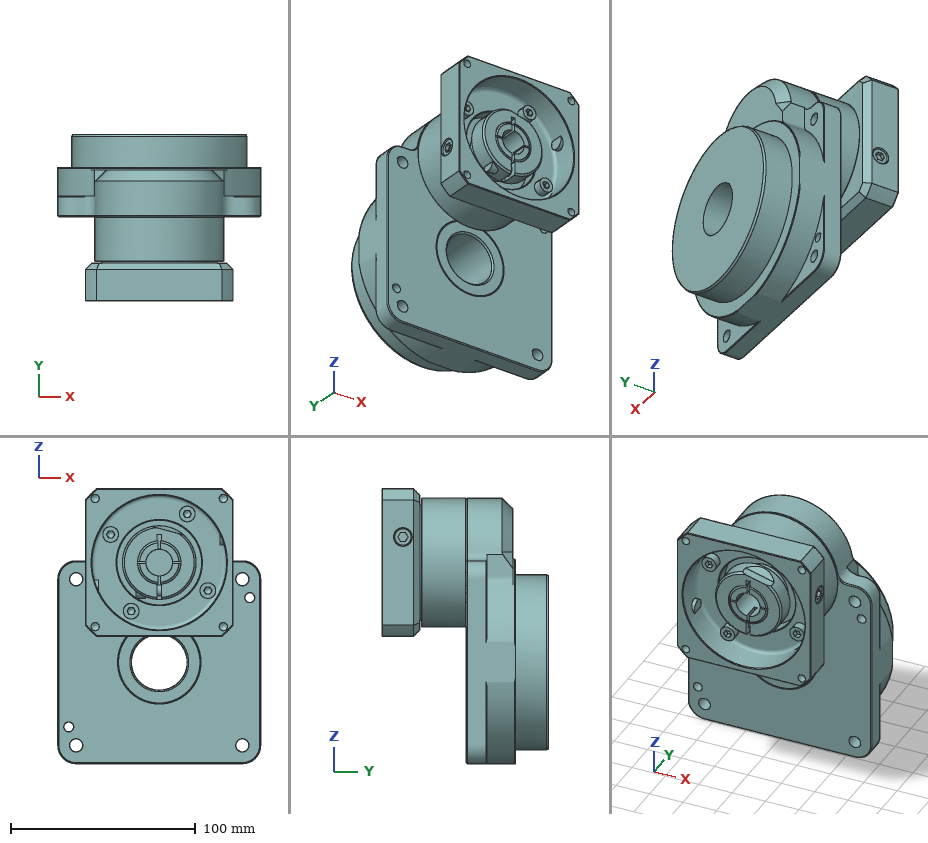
import cadquery as cq
import math


OVERALL_HEIGHT = 149.0
PLATE_WIDTH = 110.0
FLANGE_WIDTH = 80.0
PLATE_HALF = PLATE_WIDTH / 2
FLANGE_HALF = FLANGE_WIDTH / 2
AXIS_OFFSET = OVERALL_HEIGHT - PLATE_HALF - FLANGE_HALF
HOUSING_RADIUS = 35.0
EDGE_CHAMFER = 0.5

PLATE_CORNER_RADIUS = 10.0
PLATE_THICKNESS = 11.2
PLATE_FRONT_CHAMFER = 0.6
BLEND_RADIUS = 6.0
BODY_RADIUS = 56.0
BODY_START = 1.5
BODY_END = 26.7
LOBE_END = 25.3
LOBE_CHAMFER = 6.0
RUNOUT_RISE = 5.8
RUNOUT_DROP = 3.3
TABLE_RADIUS = 47.5
TABLE_END = 44.7
TABLE_CHAMFER_LENGTH = 1.3
TABLE_CHAMFER_DEPTH = 0.6
BORE_RADIUS = 15.0
BORE_CHAMFER = 0.9
HUB_RADIUS = 22.4
HUB_GROOVE_WIDTH = 0.6
MOUNT_HOLE_SPACING = 90.0
MOUNT_HOLE_DIAMETER = 7.0
DOWEL_HOLE_DIAMETER = 5.2
DOWEL_HOLE_X = 49.0
DOWEL_HOLE_Z = 35.0

BARREL_END = -24.3
NECK_RADIUS = 31.3
FLANGE_BACK = -25.0
FLANGE_FRONT = -45.7
FLANGE_CORNER_RADIUS = 52.5
FLANGE_BACK_CHAMFER = 3.6
FLANGE_HOLE_SPACING = 69.5
FLANGE_HOLE_RADIUS = 2.2
FLANGE_HOLE_DEPTH = 11.9
DRILL_TIP_RATIO = 0.6
POCKET_RADIUS = 36.5
POCKET_FLOOR = -29.0
POCKET_FILLET = 2.1
CAVITY_RADIUS = 23.0
CAVITY_BOTTOM = -20.9
SCREW_CIRCLE_RADIUS = 30.4
SCREW_FIRST_ANGLE = 60.0
SCREW_COUNT = 4
SCREW_HEAD_RADIUS = 8.5 / 2
SCREW_HEAD_HEIGHT = 5.0
SCREW_SOCKET_FLATS = 3.9
SCREW_SOCKET_DEPTH = 3.0

COLLAR_RADIUS = 20.0
COLLAR_CHAMFER = 1.0
COLLAR_FRONT = -40.2
COLLAR_BACK = -29.4
HUB_SHAFT_RADIUS = 14.9
COLLAR_FLAT_DISTANCE = 17.9
COLLAR_FLAT_TILT = 15.0
COLLAR_FLAT_LENGTH = 5.2
COLLAR_FLAT_RUNOUT = 4.5
COLLET_RADIUS = 11.8
COLLET_GROOVE_WIDTH = 1.12
INPUT_BORE_RADIUS = 14.5 / 2
INPUT_BORE_DEPTH = 20.1
COLLET_SLIT_WIDE = 1.5
COLLET_SLIT_NARROW = 0.9
COLLAR_SLOT_WIDTH = 2.5
COLLAR_SLOT_BLIND_REACH = 15.2
SLIT_DEPTH = 9.7
CLAMP_SCREW_Y = -34.3
CLAMP_SCREW_DROP = 15.2
CLAMP_HEAD_REACH = 12.5
CLAMP_HEAD_RADIUS = SCREW_HEAD_RADIUS
CLAMP_SHANK_RADIUS = 3.0
CLAMP_HEAD_LENGTH = SCREW_HEAD_HEIGHT
CLAMP_SHANK_END = 7.5

PLUG_Y = -34.3
PLUG_DROP = 13.9
PLUG_RADIUS = 4.5
PLUG_INNER_END = 33.0
PLUG_RECESS = 0.6
PLUG_SOCKET_FLATS = 4.8
PLUG_SOCKET_DEPTH = 2.2


def facing_back(y, z=0.0):
    """Sketch plane at depth y with local x = X, local y = Z; extrude negative to go toward +Y."""
    return cq.Workplane("XZ", origin=(0, y, z))


def cylinder(radius, y_start, y_end, z=0.0):
    """Cylinder along Y from y_start to y_end, centred at height z."""
    return facing_back(y_start, z).circle(radius).extrude(y_start - y_end)


def cylinder_along_x(radius, x_start, x_end, y, z):
    return cq.Workplane("YZ", origin=(x_start, y, z)).circle(radius).extrude(x_end - x_start)


def revolved(points, z=0.0):
    """Solid of revolution about the line parallel to Y at height z; points are (radius, y)."""
    profile = cq.Workplane("XY", origin=(0, 0, z)).polyline(points).close()
    return profile.revolve(360, (0, 0, 0), (0, 1, 0))


def hexagon_diameter(across_flats):
    return across_flats / math.cos(math.radians(30))


def arc_point(center, radius, degrees):
    angle = math.radians(degrees)
    return (center[0] + radius * math.cos(angle), center[1] + radius * math.sin(angle))


LOBE_CENTER = (0, AXIS_OFFSET)
LOBE_TOP = (0, AXIS_OFFSET + HOUSING_RADIUS)

TOP_BLEND_REACH = HOUSING_RADIUS + BLEND_RADIUS
TOP_BLEND_ANGLE = math.degrees(math.asin((PLATE_HALF + BLEND_RADIUS - AXIS_OFFSET) / TOP_BLEND_REACH))
TOP_BLEND_CENTER = arc_point(LOBE_CENTER, TOP_BLEND_REACH, TOP_BLEND_ANGLE)
TOP_BLEND_END = arc_point(LOBE_CENTER, HOUSING_RADIUS, TOP_BLEND_ANGLE)


def plate():
    """Square plate with rounded corners and a chamfered back rim."""
    slab = facing_back(0).rect(PLATE_WIDTH, PLATE_WIDTH).extrude(-PLATE_THICKNESS)
    slab = slab.edges("|Y").fillet(PLATE_CORNER_RADIUS)
    return slab.faces(">Y").edges().chamfer(EDGE_CHAMFER)


def close_over_lobe(outline):
    """Continue an outline from its side blend over the top of the lobe and mirror it."""
    mid_angle = (TOP_BLEND_ANGLE + 90) / 2
    return (
        outline.threePointArc(arc_point(LOBE_CENTER, HOUSING_RADIUS, mid_angle), LOBE_TOP).mirrorY()
    )


def lobe_web():
    """Part of the lobe level with the plate, blended into the plate's top edge."""
    outline = (
        facing_back(0)
        .lineTo(TOP_BLEND_CENTER[0], 0)
        .lineTo(TOP_BLEND_CENTER[0], PLATE_HALF)
        .threePointArc(
            arc_point(TOP_BLEND_CENTER, BLEND_RADIUS, (TOP_BLEND_ANGLE - 180 - 90) / 2),
            TOP_BLEND_END,
        )
    )
    return close_over_lobe(outline).extrude(-PLATE_THICKNESS)


def round_body():
    """Round body behind the plate, cut flat where it would pass the plate's sides and bottom."""
    body = cylinder(BODY_RADIUS, BODY_START, BODY_END).faces(">Y").edges().chamfer(EDGE_CHAMFER)
    top = BODY_RADIUS + 1.5
    limits = (
        facing_back(0)
        .moveTo(-PLATE_HALF, -PLATE_HALF)
        .lineTo(PLATE_HALF, -PLATE_HALF)
        .lineTo(PLATE_HALF, top)
        .lineTo(-PLATE_HALF, top)
        .close()
        .extrude(-BODY_END)
    )
    return body.intersect(limits)


def pyramid(base, apex):
    """Solid with a triangular base and one apex; all points are (x, y, z)."""
    triangles = [base] + [(base[i], base[(i + 1) % 3], apex) for i in range(3)]
    faces = []
    for triangle in triangles:
        corners = [cq.Vector(*point) for point in triangle]
        faces.append(cq.Face.makeFromWires(cq.Wire.makePolygon(corners, close=True)))
    return cq.Workplane(cq.Solid.makeSolid(cq.Shell.makeShell(faces)))


def lobe():
    """Lobe behind the plate: flat sides, blends into the round body, chamfered back rim."""
    blend_x = HOUSING_RADIUS + BLEND_RADIUS
    blend_reach = BODY_RADIUS + BLEND_RADIUS
    blend_angle = math.degrees(math.acos(blend_x / blend_reach))
    blend_center = arc_point((0, 0), blend_reach, blend_angle)
    side_angle = -math.degrees(math.acos((HOUSING_RADIUS - TOP_BLEND_CENTER[0]) / BLEND_RADIUS))
    outline = (
        facing_back(PLATE_THICKNESS)
        .lineTo(*arc_point((0, 0), BODY_RADIUS, blend_angle))
        .threePointArc(
            arc_point(blend_center, BLEND_RADIUS, (blend_angle + 360) / 2),
            (HOUSING_RADIUS, blend_center[1]),
        )
        .lineTo(*arc_point(TOP_BLEND_CENTER, BLEND_RADIUS, side_angle))
        .threePointArc(
            arc_point(TOP_BLEND_CENTER, BLEND_RADIUS, (side_angle + TOP_BLEND_ANGLE - 180) / 2),
            TOP_BLEND_END,
        )
    )
    return close_over_lobe(outline).extrude(PLATE_THICKNESS - LOBE_END).cut(lobe_rim_cut())


def lobe_rim_cut():
    """Conical chamfer round the top of the lobe with a sloping run-out at each side."""
    outer = HOUSING_RADIUS + 1.5
    start = LOBE_END - LOBE_CHAMFER
    end_radius = HOUSING_RADIUS - LOBE_CHAMFER
    ring = revolved(
        [(HOUSING_RADIUS, start), (outer, start), (outer, LOBE_END), (end_radius, LOBE_END)],
        AXIS_OFFSET,
    )
    stop = AXIS_OFFSET + RUNOUT_RISE
    upper = cq.Workplane().box(2 * outer, 2 * LOBE_END, 2 * outer, centered=(True, True, False))
    cutter = ring.intersect(upper.translate((0, 0, stop)))
    inner_x = math.sqrt(end_radius**2 - RUNOUT_RISE**2)
    past_inner = outer - inner_x
    run_slope = (RUNOUT_RISE + RUNOUT_DROP) / (HOUSING_RADIUS - inner_x)
    for side in (-1, 1):
        base = (
            (side * inner_x, LOBE_END, stop),
            (side * outer, LOBE_END, stop),
            (side * outer, LOBE_END, stop - run_slope * past_inner),
        )
        cutter = cutter.union(pyramid(base, (side * outer, LOBE_END - past_inner, stop)))
    return cutter


def output_table():
    """Round output table with a chamfered back rim."""
    table = cylinder(TABLE_RADIUS, BODY_END, TABLE_END)
    rim_start = TABLE_END - TABLE_CHAMFER_LENGTH
    rim = revolved([
        (TABLE_RADIUS, rim_start),
        (TABLE_RADIUS, TABLE_END),
        (TABLE_RADIUS - TABLE_CHAMFER_DEPTH, TABLE_END),
    ])
    return table.cut(rim)


def stage_bore():
    """Through bore with a chamfered front mouth."""
    mouth = BORE_RADIUS + BORE_CHAMFER
    return revolved([
        (0, 0), (mouth, 0), (BORE_RADIUS, BORE_CHAMFER), (BORE_RADIUS, TABLE_END), (0, TABLE_END),
    ])


def hub_groove():
    """Fine V groove round the hub in the plate's front face."""
    half = HUB_GROOVE_WIDTH / 2
    return revolved([(HUB_RADIUS - half, 0), (HUB_RADIUS + half, 0), (HUB_RADIUS, half)])


def plate_holes():
    """Four mounting holes and two dowel holes through the plate."""
    mounts = (
        facing_back(0)
        .rect(MOUNT_HOLE_SPACING, MOUNT_HOLE_SPACING, forConstruction=True)
        .vertices()
        .circle(MOUNT_HOLE_DIAMETER / 2)
        .extrude(-PLATE_THICKNESS)
    )
    dowels = (
        facing_back(0)
        .pushPoints([(DOWEL_HOLE_X, DOWEL_HOLE_Z), (-DOWEL_HOLE_X, -DOWEL_HOLE_Z)])
        .circle(DOWEL_HOLE_DIAMETER / 2)
        .extrude(-PLATE_THICKNESS)
    )
    return mounts.union(dowels)


def rotary_stage():
    front = plate().union(lobe_web()).faces("<Y").edges().chamfer(PLATE_FRONT_CHAMFER)
    solid = front.union(round_body()).union(lobe()).union(output_table())
    return solid.cut(stage_bore()).cut(hub_groove()).cut(plate_holes())


def barrel():
    """Round gearbox barrel and the narrower neck in front of it."""
    body = cylinder(HOUSING_RADIUS, BARREL_END, 0, z=AXIS_OFFSET).edges().chamfer(EDGE_CHAMFER)
    return body.union(cylinder(NECK_RADIUS, FLANGE_BACK, BARREL_END, z=AXIS_OFFSET))


def motor_flange():
    """Square flange with corners trimmed to a circle and both rims chamfered."""
    length = FLANGE_BACK - FLANGE_FRONT
    square = facing_back(FLANGE_FRONT, AXIS_OFFSET).rect(FLANGE_WIDTH, FLANGE_WIDTH).extrude(-length)
    flange = square.intersect(cylinder(FLANGE_CORNER_RADIUS, FLANGE_FRONT, FLANGE_BACK, z=AXIS_OFFSET))
    flange = flange.faces(">Y").edges().chamfer(FLANGE_BACK_CHAMFER)
    return flange.faces("<Y").edges().chamfer(EDGE_CHAMFER)


def motor_pocket():
    """Round pocket with a filleted floor and a chamfered mouth."""
    pocket = cylinder(POCKET_RADIUS, FLANGE_FRONT, POCKET_FLOOR, z=AXIS_OFFSET)
    pocket = pocket.faces(">Y").edges().fillet(POCKET_FILLET)
    mouth = revolved(
        [
            (0, FLANGE_FRONT),
            (POCKET_RADIUS + EDGE_CHAMFER, FLANGE_FRONT),
            (POCKET_RADIUS, FLANGE_FRONT + EDGE_CHAMFER),
            (0, FLANGE_FRONT + EDGE_CHAMFER),
        ],
        AXIS_OFFSET,
    )
    return pocket.union(mouth)


def collar_cavity():
    """Round cavity in the pocket floor, open round the collar."""
    rim = CAVITY_RADIUS + EDGE_CHAMFER
    return revolved(
        [
            (0, POCKET_FLOOR),
            (rim, POCKET_FLOOR),
            (CAVITY_RADIUS, POCKET_FLOOR + EDGE_CHAMFER),
            (CAVITY_RADIUS, CAVITY_BOTTOM),
            (0, CAVITY_BOTTOM),
        ],
        AXIS_OFFSET,
    )


def flange_holes():
    """Drilled holes in the four corners of the flange, with conical bottoms."""
    tip = FLANGE_FRONT + FLANGE_HOLE_DEPTH
    hole = revolved([
        (0, FLANGE_FRONT),
        (FLANGE_HOLE_RADIUS, FLANGE_FRONT),
        (FLANGE_HOLE_RADIUS, tip),
        (0, tip + DRILL_TIP_RATIO * FLANGE_HOLE_RADIUS),
    ])
    half = FLANGE_HOLE_SPACING / 2
    holes = cq.Workplane()
    for x in (-half, half):
        for z in (-half, half):
            holes.add(hole.translate((x, 0, AXIS_OFFSET + z)))
    return holes.combine()


def socket_screw():
    """Cap-screw head with a hexagon socket that ends in a drill tip."""
    front = POCKET_FLOOR - SCREW_HEAD_HEIGHT
    socket_end = front + SCREW_SOCKET_DEPTH
    tip_radius = SCREW_SOCKET_FLATS / 2
    tip_end = socket_end + DRILL_TIP_RATIO * tip_radius
    head = cylinder(SCREW_HEAD_RADIUS, front, POCKET_FLOOR)
    socket = (
        facing_back(front).polygon(6, hexagon_diameter(SCREW_SOCKET_FLATS)).extrude(-SCREW_SOCKET_DEPTH)
    )
    tip = revolved([(0, socket_end), (tip_radius, socket_end), (0, tip_end)])
    return head.cut(socket).cut(tip)


def collar():
    """Clamping collar on the input shaft, with a flat near its top that runs out toward the back."""
    ring = cylinder(COLLAR_RADIUS, COLLAR_FRONT, COLLAR_BACK, z=AXIS_OFFSET)
    ring = ring.faces("<Y").edges().chamfer(COLLAR_CHAMFER)
    level_end = COLLAR_FRONT + COLLAR_FLAT_LENGTH
    flat_cut = (
        cq.Workplane("YZ")
        .moveTo(COLLAR_FRONT, COLLAR_FLAT_DISTANCE)
        .lineTo(level_end, COLLAR_FLAT_DISTANCE)
        .lineTo(level_end + COLLAR_FLAT_RUNOUT, COLLAR_RADIUS)
        .lineTo(COLLAR_FRONT, COLLAR_RADIUS)
        .close()
        .extrude(COLLAR_RADIUS, both=True)
        .rotate((0, 0, 0), (0, 1, 0), COLLAR_FLAT_TILT)
        .translate((0, 0, AXIS_OFFSET))
    )
    shaft = cylinder(HUB_SHAFT_RADIUS, COLLAR_BACK, CAVITY_BOTTOM, z=AXIS_OFFSET)
    return ring.cut(flat_cut).union(shaft)


def slit(width_x, width_z, z):
    """Rectangular slit from the collar's front face, centred at height z from the gearbox axis."""
    return (
        facing_back(COLLAR_FRONT, AXIS_OFFSET).center(0, z).rect(width_x, width_z).extrude(-SLIT_DEPTH)
    )


def collar_cuts():
    """Input bore, collet groove, collet slits and clamp slots."""
    bore = cylinder(INPUT_BORE_RADIUS, COLLAR_FRONT, COLLAR_FRONT + INPUT_BORE_DEPTH, z=AXIS_OFFSET)
    groove = revolved(
        [
            (COLLET_RADIUS - COLLET_GROOVE_WIDTH, COLLAR_FRONT),
            (COLLET_RADIUS, COLLAR_FRONT),
            (COLLET_RADIUS, COLLAR_FRONT + COLLET_GROOVE_WIDTH),
        ],
        AXIS_OFFSET,
    )
    slits = slit(COLLET_SLIT_WIDE, 2 * COLLET_RADIUS, 0)
    slits = slits.union(slit(2 * COLLET_RADIUS, COLLET_SLIT_NARROW, 0))
    blind_length = COLLAR_SLOT_BLIND_REACH - COLLET_RADIUS
    open_length = COLLAR_RADIUS - COLLET_RADIUS
    blind_slot = slit(COLLAR_SLOT_WIDTH, blind_length, COLLET_RADIUS + blind_length / 2)
    open_slot = slit(COLLAR_SLOT_WIDTH, open_length, -COLLET_RADIUS - open_length / 2)
    return bore.union(groove).union(slits).union(blind_slot).union(open_slot)


def clamp_screw():
    """Clamp screw across the collar's open slot."""
    z = AXIS_OFFSET - CLAMP_SCREW_DROP
    head_end = CLAMP_HEAD_LENGTH - CLAMP_HEAD_REACH
    head = cylinder_along_x(CLAMP_HEAD_RADIUS, -CLAMP_HEAD_REACH, head_end, CLAMP_SCREW_Y, z)
    return head.union(cylinder_along_x(CLAMP_SHANK_RADIUS, head_end, CLAMP_SHANK_END, CLAMP_SCREW_Y, z))


def plug():
    """Plug through the -X side of the flange; its inner end stands out into the pocket."""
    return cylinder_along_x(
        PLUG_RADIUS, PLUG_RECESS - FLANGE_HALF, -PLUG_INNER_END, PLUG_Y, AXIS_OFFSET - PLUG_DROP
    )


def plug_recess():
    """Countersunk mouth and hexagon socket of the plug."""
    z = AXIS_OFFSET - PLUG_DROP
    mouth = (
        cq.Workplane("YZ", origin=(-FLANGE_HALF, PLUG_Y, z))
        .circle(PLUG_RADIUS + PLUG_RECESS)
        .workplane(offset=PLUG_RECESS)
        .circle(PLUG_RADIUS)
        .loft()
    )
    socket = (
        cq.Workplane("YZ", origin=(-FLANGE_HALF, PLUG_Y, z))
        .polygon(6, hexagon_diameter(PLUG_SOCKET_FLATS))
        .extrude(PLUG_RECESS + PLUG_SOCKET_DEPTH)
    )
    return mouth.union(socket)


def half_turn(shape):
    """Copy turned half a turn about the gearbox axis."""
    return shape.rotate((0, 0, AXIS_OFFSET), (0, 1, AXIS_OFFSET), 180)


def gearbox():
    solid = barrel().union(motor_flange())
    solid = solid.cut(motor_pocket()).cut(collar_cavity()).cut(flange_holes())
    for i in range(SCREW_COUNT):
        angle = SCREW_FIRST_ANGLE + i * 360 / SCREW_COUNT
        x, z = arc_point(LOBE_CENTER, SCREW_CIRCLE_RADIUS, angle)
        solid = solid.union(socket_screw().translate((x, 0, z)))
    solid = solid.union(collar()).cut(collar_cuts()).union(clamp_screw())
    solid = solid.union(plug()).union(half_turn(plug()))
    return solid.cut(plug_recess()).cut(half_turn(plug_recess()))


result = cq.Compound.makeCompound([*rotary_stage().solids().vals(), *gearbox().solids().vals()])